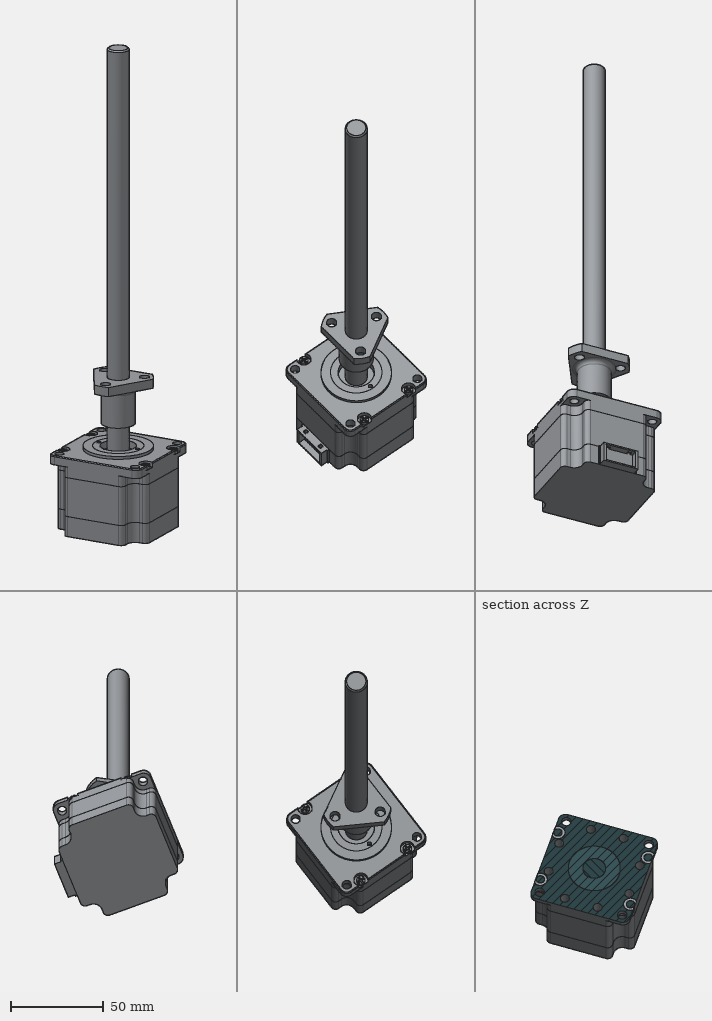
import cadquery as cq
import math

frame_width = 56.3
half_frame = frame_width / 2
rear_top = 11.5
stator_top = 33.5
flange_bottom = 39.5
face_top = 44.8
pilot_top = 46.5
pilot_radius = 19.0
flange_corner_radius = 4.0
flange_chamfer = 0.5

mount_offset = 23.5
mount_hole_radius = 2.5
groove_radius = 5.0
groove_lobe_radius = 2.7

pocket_offset = 15.5
pocket_inset = 2.5
pocket_radius = 3.8
pocket_depth = 2.7
head_radius = 2.32
head_drop = 0.5
slot_width = 0.8
slot_depth = 0.8

blind_near = 9.3
blind_far = 23.0
blind_radius = 2.32
blind_skin = 0.8

bore_radius = 14.0
ring_bottom = 42.3
ring_hole_radius = 9.8
spanner_hole_offset = 12.0
spanner_hole_radius = 1.0

screw_radius = 6.0
screw_top = 273.0
screw_chamfer = 0.8

nut_bottom = 59.3
nut_flange_bottom = 80.3
nut_flange_top = 85.5
nut_radius = 9.3
nut_fillet = 2.5
nut_corner_count = 3
nut_flat_distance = 13.0
nut_first_corner = 30
nut_corner_radius = 19.0
nut_hole_circle = 14.2
nut_hole_radius = 2.7

connector_width = 20.8
connector_depth = 5.0
connector_side_wall = 1.6
connector_end_wall = 0.8
connector_base_width = 22.5
connector_base_depth = 1.0
window_offset = 6.3
window_width = 2.0
window_depth = 2.0


def cylinder(radius, bottom, top, x=0, y=0):
    return cq.Workplane("XY", origin=(x, y, bottom)).circle(radius).extrude(top - bottom)


def corner_cut(bottom, top):
    """Cutter for the +X +Y frame corner: a round groove that flares out to both sides."""
    wall = mount_offset - groove_radius
    lobe_end = half_frame - groove_lobe_radius
    flare = wall - groove_lobe_radius
    bulge = groove_lobe_radius * math.sqrt(0.5)
    arc_mid = mount_offset - groove_radius * math.sqrt(0.5)
    beyond = half_frame + 2.7
    return (
        cq.Workplane("XY", origin=(0, 0, bottom))
        .moveTo(flare, half_frame)
        .threePointArc((flare + bulge, lobe_end + bulge), (wall, lobe_end))
        .lineTo(wall, mount_offset)
        .threePointArc((arc_mid, arc_mid), (mount_offset, wall))
        .lineTo(lobe_end, wall)
        .threePointArc((lobe_end + bulge, flare + bulge), (half_frame, flare))
        .lineTo(beyond, flare)
        .lineTo(beyond, beyond)
        .lineTo(flare, beyond)
        .close()
        .extrude(top - bottom)
    )


def frame_section(bottom, top):
    block = cq.Workplane("XY", origin=(0, 0, bottom)).rect(frame_width, frame_width).extrude(top - bottom)
    cut = corner_cut(bottom, top)
    for quarter in range(4):
        block = block.cut(cut.rotate((0, 0, 0), (0, 0, 1), 90 * quarter))
    return block


def edge_pocket(x, y):
    """Cutter for a round pocket that leaves a screw head with a cross slot standing on its floor."""
    floor = face_top - pocket_depth
    head_top = face_top - head_drop
    slot_length = 2 * head_radius
    slot = cq.Workplane("XY", origin=(x, y, head_top - slot_depth))
    head = cylinder(head_radius, floor, head_top, x, y)
    head = head.cut(slot.rect(slot_length, slot_width).extrude(slot_depth))
    head = head.cut(slot.rect(slot_width, slot_length).extrude(slot_depth))
    return cylinder(pocket_radius, floor, face_top, x, y).cut(head)


def make_front_cover():
    cover = (
        cq.Workplane("XY", origin=(0, 0, flange_bottom))
        .rect(frame_width, frame_width)
        .extrude(face_top - flange_bottom)
        .edges("|Z")
        .fillet(flange_corner_radius)
        .faces(">Z")
        .edges()
        .chamfer(flange_chamfer)
    )
    cover = cover.union(frame_section(stator_top, flange_bottom))
    cover = cover.union(cylinder(pilot_radius, face_top, pilot_top))
    cover = cover.cut(cylinder(bore_radius, stator_top, pilot_top))
    for x_side in (-1, 1):
        for y_side in (-1, 1):
            x = x_side * mount_offset
            y = y_side * mount_offset
            cover = cover.cut(cylinder(mount_hole_radius, flange_bottom, face_top, x, y))
            cover = cover.cut(edge_pocket(x_side * (half_frame - pocket_inset), y_side * pocket_offset))
            for blind_x, blind_y in ((blind_near, blind_far), (blind_far, blind_near)):
                x = x_side * blind_x
                y = y_side * blind_y
                cover = cover.cut(cylinder(blind_radius, stator_top, face_top - blind_skin, x, y))
    return cover


def make_retaining_ring():
    ring = cylinder(bore_radius, ring_bottom, pilot_top)
    ring = ring.cut(cylinder(ring_hole_radius, ring_bottom, pilot_top))
    for x in (-spanner_hole_offset, spanner_hole_offset):
        ring = ring.cut(cylinder(spanner_hole_radius, ring_bottom, pilot_top, x))
    return ring


def make_bearing():
    bearing = cylinder(bore_radius, stator_top, ring_bottom)
    return bearing.cut(cylinder(screw_radius, stator_top, ring_bottom))


def make_lead_screw():
    screw = cylinder(screw_radius, stator_top, screw_top)
    return screw.faces(">Z").edges().chamfer(screw_chamfer)


def make_nut():
    """Round barrel under a triangular flange whose corners are trimmed to a circle."""
    triangle_diameter = 2 * nut_flat_distance / math.cos(math.pi / nut_corner_count)
    flange = (
        cq.Workplane("XY", origin=(0, 0, nut_flange_bottom))
        .polygon(nut_corner_count, triangle_diameter)
        .extrude(nut_flange_top - nut_flange_bottom)
        .rotate((0, 0, 0), (0, 0, 1), nut_first_corner)
        .intersect(cylinder(nut_corner_radius, nut_flange_bottom, nut_flange_top))
    )
    barrel_root = cq.selectors.RadiusNthSelector(0)
    nut = (
        flange.union(cylinder(nut_radius, nut_bottom, nut_flange_bottom))
        .faces("<Z[1]")
        .edges("%CIRCLE")
        .edges(barrel_root)
        .fillet(nut_fillet)
        .cut(cylinder(screw_radius, nut_bottom, nut_flange_top))
    )
    for corner in range(nut_corner_count):
        angle = math.radians(nut_first_corner + 360 / nut_corner_count * corner)
        x = nut_hole_circle * math.cos(angle)
        y = nut_hole_circle * math.sin(angle)
        nut = nut.cut(cylinder(nut_hole_radius, nut_flange_bottom, nut_flange_top, x, y))
    return nut


def connector_block(width, y_start, y_end, bottom, top, x=0):
    middle = half_frame + (y_start + y_end) / 2
    return cq.Workplane("XY", origin=(x, middle, bottom)).rect(width, y_end - y_start).extrude(top - bottom)


def make_connector():
    """Socket shell open towards +Y on a thin base plate, with two windows in its top wall."""
    cavity_width = connector_width - 2 * connector_side_wall
    cavity_top = rear_top - connector_end_wall
    shell = connector_block(connector_width, 0, connector_depth, 0, rear_top)
    shell = shell.cut(
        connector_block(cavity_width, connector_base_depth, connector_depth, connector_end_wall, cavity_top)
    )
    shell = shell.union(connector_block(connector_base_width, 0, connector_base_depth, 0, rear_top))
    window_end = connector_base_depth + window_depth
    for x in (-window_offset, window_offset):
        shell = shell.cut(
            connector_block(window_width, connector_base_depth, window_end, cavity_top, rear_top, x)
        )
    return shell


rear_cover = frame_section(0, rear_top)
stator = frame_section(rear_top, stator_top)
front_cover = make_front_cover()
retaining_ring = make_retaining_ring()
bearing = make_bearing()
lead_screw = make_lead_screw()
nut = make_nut()
connector = make_connector()

bodies = (rear_cover, stator, front_cover, retaining_ring, bearing, lead_screw, nut, connector)
result = cq.Compound.makeCompound([body.val() for body in bodies])